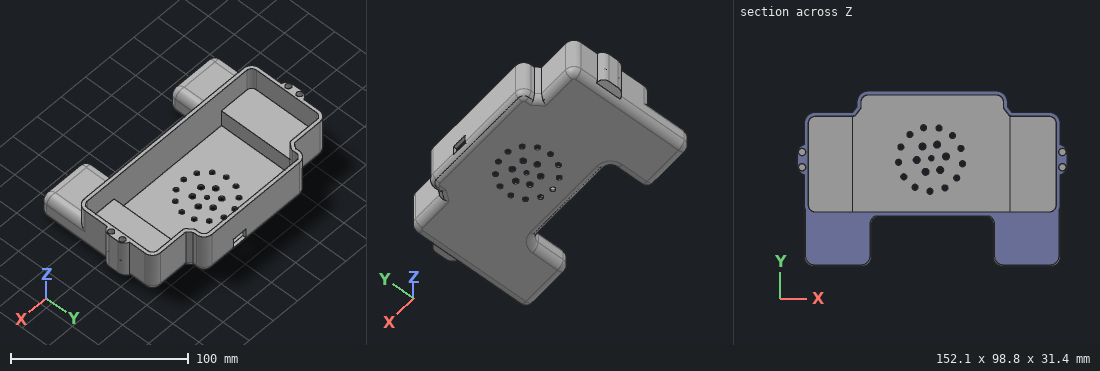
import cadquery as cq
import math

body_half_width = 72.1
body_depth = 70.5
body_height = 31.36
corner_radius = 6.2
wall = 2.4
floor_thickness = 1.5
bottom_radius = 5.0

bay_half_width = 42.4
bay_step = 12.0
bay_chamfer_x = 2.5
bay_chamfer_y = 3.2
shoulder_y = body_depth - bay_step

well_half_width = 44.4
well_centre_x = -0.5
ledge_height = 14.2

foot_width = 37.8
foot_length = 28.26
foot_height = 19.0
foot_corner_radius = 5.0
foot_top_radius = 6.2
foot_root_radius = 5.0
foot_overlap = 12.0
root_overlap = 2.0
foot_inner_x = body_half_width - foot_width

tab_reach = 3.95
tab_half_width = 8.6
tab_flat_half_width = 3.4
tab_y = 31.8
tab_tip_z = 3.95
tab_bottom_slope = 0.31
tab_overlap = 1.5
tab_hole_diameter = 3.98
tab_hole_depth = 16.0
tab_hole_x = 73.3
tab_hole_half_pitch = 4.3
tab_tip_x = body_half_width + tab_reach

speaker_x = well_centre_x
speaker_y = 32.6
centre_hole_diameter = 2.8
inner_ring_count = 6
inner_ring_radius = 8.3
inner_ring_hole_diameter = 3.7
inner_ring_start = 7.0
outer_ring_count = 13
outer_ring_radius = 18.1
outer_ring_hole_diameter = 3.2
outer_ring_start = -91.3
outer_ring_shift_x = -0.4
outer_ring_shift_y = -0.5

window_width = 10.2
window_height = 7.5
window_centre_x = 13.2
window_bottom_z = 4.1


def tray_outline():
    """Plan of the tray: wide rectangle with a chamfered bay at the back, sharp outer corners."""
    half = [
        (body_half_width, 0),
        (body_half_width, shoulder_y),
        (bay_half_width + bay_chamfer_x, shoulder_y),
        (bay_half_width, shoulder_y + bay_chamfer_y),
        (bay_half_width, body_depth),
    ]
    mirrored = [(-x, y) for x, y in reversed(half)]
    return half + mirrored


def round_outer_corners(solid):
    for x, y in [(body_half_width, 0), (body_half_width, shoulder_y), (bay_half_width, body_depth)]:
        for side in (-1, 1):
            corner = cq.selectors.NearestToPointSelector((side * x, y, body_height / 2))
            solid = solid.edges("|Z").edges(corner).fillet(corner_radius)
    return solid


def make_tray_block():
    block = cq.Workplane("XY").polyline(tray_outline()).close().extrude(body_height)
    return round_outer_corners(block)


def make_foot():
    """Foot on the +X side, with a concave root that runs into the front wall."""
    root_end_x = foot_inner_x - foot_root_radius - root_overlap
    foot = (
        cq.Workplane("XY")
        .moveTo(body_half_width, foot_overlap)
        .lineTo(body_half_width, -foot_length)
        .lineTo(foot_inner_x, -foot_length)
        .lineTo(foot_inner_x, 0)
        .lineTo(root_end_x, 0)
        .lineTo(root_end_x, foot_overlap)
        .close()
        .extrude(foot_height)
    )
    root = cq.selectors.NearestToPointSelector((foot_inner_x, 0, foot_height / 2))
    foot = foot.edges("|Z").edges(root).fillet(foot_root_radius)
    foot = foot.faces(">Z").edges("not(>Y or <X)").fillet(foot_top_radius)
    return round_front_corners(foot)


def round_front_corners(foot):
    """Round both front corners of the foot: each upright edge and the mitre edge above it."""
    for x in (foot_inner_x, body_half_width):
        corner = cq.selectors.BoxSelector(
            (x - foot_top_radius, -foot_length - foot_top_radius, 0),
            (x + foot_top_radius, -foot_length + foot_top_radius, foot_height),
        )
        foot = foot.edges(corner).fillet(foot_corner_radius)
    return foot


def mirror_pair(solid):
    """The solid together with its mirror image on the -X side."""
    return solid.union(solid.mirror("YZ"))


def make_cavity():
    """Inside of the tray: the block offset inwards by the wall, with a raised floor at each end."""
    rim = make_tray_block().faces("<Z").wires().toPending().offset2D(-wall)
    cavity = rim.extrude(body_height, combine=False).translate((0, 0, floor_thickness))
    for side in (-1, 1):
        ledge_length = body_half_width - well_half_width - side * well_centre_x
        ledge = cq.Workplane("XY").box(ledge_length, body_depth, ledge_height, centered=(True, False, False))
        cavity = cavity.cut(ledge.translate((side * (body_half_width - ledge_length / 2), 0, 0)))
    return cavity


def make_tab():
    """Screw tab on the +X end, with rounded flanks and a sloping underside."""
    flank_rise = tab_half_width - tab_flat_half_width
    flank_radius = (tab_reach**2 + flank_rise**2) / (2 * tab_reach)
    half_angle = math.asin(flank_rise / flank_radius) / 2
    middle_x = tab_tip_x - flank_radius * (1 - math.cos(half_angle))
    middle_y = tab_flat_half_width + flank_radius * math.sin(half_angle)
    inner_x = body_half_width - tab_overlap
    tab = (
        cq.Workplane("XY")
        .moveTo(inner_x, -tab_half_width)
        .lineTo(body_half_width, -tab_half_width)
        .threePointArc((middle_x, -middle_y), (tab_tip_x, -tab_flat_half_width))
        .lineTo(tab_tip_x, tab_flat_half_width)
        .threePointArc((middle_x, middle_y), (body_half_width, tab_half_width))
        .lineTo(inner_x, tab_half_width)
        .close()
        .extrude(body_height)
    )
    inner_z = tab_tip_z - tab_bottom_slope * (tab_tip_x - inner_x)
    underside = (
        cq.Workplane("XZ")
        .polyline([(inner_x, 0), (tab_tip_x, 0), (tab_tip_x, tab_tip_z), (inner_x, inner_z)])
        .close()
        .extrude(tab_half_width, both=True)
    )
    return tab.cut(underside).translate((0, tab_y, 0))


def make_tab_holes():
    places = [(tab_hole_x, tab_y + side * tab_hole_half_pitch) for side in (-1, 1)]
    holes = cq.Workplane("XY").pushPoints(places).circle(tab_hole_diameter / 2).extrude(tab_hole_depth)
    return holes.translate((0, 0, body_height - tab_hole_depth))


def make_hole_ring(x, y, radius, count, start_angle, diameter):
    return (
        cq.Workplane("XY", origin=(x, y, 0))
        .polarArray(radius, start_angle, 360, count)
        .circle(diameter / 2)
        .extrude(ledge_height)
    )


def make_speaker_holes():
    centre = cq.Workplane("XY", origin=(speaker_x, speaker_y, 0))
    centre = centre.circle(centre_hole_diameter / 2).extrude(ledge_height)
    inner = make_hole_ring(
        speaker_x, speaker_y, inner_ring_radius, inner_ring_count, inner_ring_start, inner_ring_hole_diameter
    )
    outer = make_hole_ring(
        speaker_x + outer_ring_shift_x,
        speaker_y + outer_ring_shift_y,
        outer_ring_radius,
        outer_ring_count,
        outer_ring_start,
        outer_ring_hole_diameter,
    )
    return centre.union(inner).union(outer)


def make_window():
    window = cq.Workplane("XY").box(window_width, 2 * wall, window_height, centered=(True, True, False))
    return window.translate((window_centre_x, body_depth - wall / 2, window_bottom_z))


outside = make_tray_block().union(mirror_pair(make_foot()))
outside = outside.faces("<Z").edges().fillet(bottom_radius)
outside = outside.union(mirror_pair(make_tab()))

result = (
    outside.cut(make_cavity())
    .cut(mirror_pair(make_tab_holes()))
    .cut(make_speaker_holes())
    .cut(make_window())
)